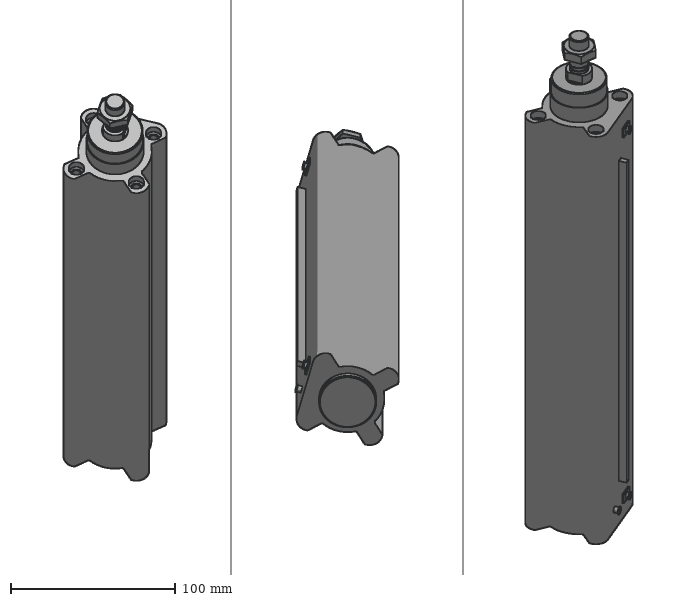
import cadquery as cq
import math

total_height = 362.0
housing_bottom = 4.0
housing_top = 309.5
collar_step = 320.3
collar_top = 330.8
flats_bottom = 331.5
shoulder_top = 337.3
step_top = 339.0
thread_bottom = 341.5
nut_bottom = 348.5
nut_height = 6.0

housing_width = 54.0
half_width = housing_width / 2
lug_radius = 8.0
lug_pitch = half_width - lug_radius
barrel_radius = 22.5
web_width = 12.5
profile_fillet = 1.0

lower_collar_diameter = 35.0
upper_collar_diameter = 34.0
foot_diameter = 35.0
collar_chamfer = 0.7

counterbore_diameter = 9.5
counterbore_depth = 5.0
screw_hole_diameter = 5.0
screw_hole_mouth_diameter = 6.0
screw_hole_depth = 14.5
drill_point_angle = 118.0

rail_width = 3.3
rail_height = 5.0
rail_bottom = 36.5
rail_top = 276.5

plug_offset = 8.5
plug_end_distance = 15.5
plug_height = 3.3
plug_head_diameter = 5.0
plug_head_height = 0.5
plug_neck_diameter = 4.0
pad_width = 9.5
pad_length = 6.0
pad_height = 1.0

shoulder_diameter = 16.0
flats_width = 12.5
step_diameter = 11.5
neck_diameter = 10.5
thread_diameter = 12.0
thread_chamfer = 0.7
nut_across_flats = 19.0
nut_across_corners = nut_across_flats / math.cos(math.pi / 6)
nut_face_diameter = 18.5
nut_chamfer_angle = 30.0


def cylinder(diameter, bottom, top):
    return cq.Workplane("XY").workplane(offset=bottom).circle(diameter / 2).extrude(top - bottom)


def block(size_x, size_y, bottom, top):
    return cq.Workplane("XY").workplane(offset=bottom).rect(size_x, size_y).extrude(top - bottom)


def make_plug(x, z):
    """Headed plug standing on the back face, its axis along +Y."""
    plane = cq.Plane(origin=(x, half_width, z), xDir=(1, 0, 0), normal=(0, 1, 0))
    neck = cq.Workplane(plane).circle(plug_neck_diameter / 2).extrude(plug_height)
    head = (
        cq.Workplane(plane).workplane(offset=plug_height - plug_head_height)
        .circle(plug_head_diameter / 2).extrude(plug_head_height)
    )
    return neck.union(head)


def make_profile_body():
    """Round barrel with four corner lugs on diagonal webs and a flat back."""
    body = cylinder(2 * barrel_radius, housing_bottom, housing_top)
    lug_reach = math.sqrt(2) * lug_pitch
    for angle in (45, 135, 225, 315):
        web = block(lug_reach, web_width, housing_bottom, housing_top).translate((lug_reach / 2, 0, 0))
        lug = cylinder(2 * lug_radius, housing_bottom, housing_top)
        lug = lug.intersect(block(2 * lug_radius, web_width, housing_bottom, housing_top))
        arm = web.union(lug.translate((lug_reach, 0, 0)))
        body = body.union(arm.rotate((0, 0, 0), (0, 0, 1), angle))
    body = body.edges("|Z").fillet(profile_fillet)

    back_flange = block(2 * lug_pitch, half_width - lug_pitch, housing_bottom, housing_top)
    back_flange = back_flange.translate((0, (half_width + lug_pitch) / 2, 0))
    return body.union(back_flange)


def make_screw_hole():
    """Counterbored blind hole with a conical bottom, opening at the housing top."""
    bore_radius = screw_hole_diameter / 2
    mouth_radius = screw_hole_mouth_diameter / 2
    bore_bottom = housing_top - screw_hole_depth
    shelf = housing_top - counterbore_depth
    point_depth = bore_radius / math.tan(math.radians(drill_point_angle / 2))
    return (
        cq.Workplane("XZ")
        .moveTo(0, housing_top)
        .lineTo(counterbore_diameter / 2, housing_top)
        .lineTo(counterbore_diameter / 2, shelf)
        .lineTo(mouth_radius, shelf)
        .lineTo(bore_radius, shelf - (mouth_radius - bore_radius))
        .lineTo(bore_radius, bore_bottom)
        .lineTo(0, bore_bottom - point_depth)
        .close()
        .revolve(360, (0, 0, 0), (0, 1, 0))
    )


def make_housing():
    """Profile body with its holes, collars, foot, back-face fittings and rod socket."""
    body = make_profile_body()
    for x in (-lug_pitch, lug_pitch):
        for y in (-lug_pitch, lug_pitch):
            body = body.cut(make_screw_hole().translate((x, y, 0)))

    lower_collar = cylinder(lower_collar_diameter, housing_top, collar_step)
    upper_collar = cylinder(upper_collar_diameter, collar_step, collar_top).faces(">Z").chamfer(collar_chamfer)
    foot = cylinder(foot_diameter, 0, housing_bottom).faces("<Z").chamfer(collar_chamfer)
    body = body.union(lower_collar).union(upper_collar).union(foot)

    rail = block(rail_width, rail_height, rail_bottom, rail_top)
    body = body.union(rail.translate((0, half_width + rail_height / 2, 0)))

    upper_plug_z = housing_top - plug_end_distance
    lower_plug_z = housing_bottom + plug_end_distance
    pad = cq.Workplane("XY").box(pad_width, pad_height, pad_length)
    for z in (upper_plug_z, lower_plug_z):
        body = body.union(pad.translate((-plug_offset, half_width + pad_height / 2, z)))
        body = body.union(make_plug(-plug_offset, z))
    body = body.union(make_plug(plug_offset, lower_plug_z))

    return body.cut(cylinder(shoulder_diameter, housing_top, collar_top))


def make_rod():
    """Piston rod seated in the collar: shoulder with two flats, step, neck and thread end."""
    shank = cylinder(shoulder_diameter, housing_top, flats_bottom)
    shoulder = cylinder(shoulder_diameter, flats_bottom, shoulder_top)
    flats = block(flats_width, shoulder_diameter, flats_bottom, shoulder_top)
    step = cylinder(step_diameter, shoulder_top, step_top)
    neck = cylinder(neck_diameter, step_top, thread_bottom)
    thread = cylinder(thread_diameter, thread_bottom, total_height).faces(">Z").chamfer(thread_chamfer)
    return shank.union(shoulder.intersect(flats)).union(step).union(neck).union(thread)


def make_nut():
    """Hexagon nut with corners along Y, its top corners cut by a cone."""
    nut_top = nut_bottom + nut_height
    nut = (
        cq.Workplane("XY").workplane(offset=nut_bottom)
        .transformed(rotate=(0, 0, 90))
        .polygon(6, nut_across_corners).extrude(nut_height)
    )
    corner_radius = nut_across_corners / 2
    face_radius = nut_face_diameter / 2
    corner_drop = (corner_radius - face_radius) * math.tan(math.radians(nut_chamfer_angle))
    envelope = (
        cq.Workplane("XZ")
        .moveTo(0, nut_bottom)
        .lineTo(corner_radius, nut_bottom)
        .lineTo(corner_radius, nut_top - corner_drop)
        .lineTo(face_radius, nut_top)
        .lineTo(0, nut_top)
        .close()
        .revolve(360, (0, 0, 0), (0, 1, 0))
    )
    bore = cylinder(thread_diameter, nut_bottom, nut_top)
    return nut.intersect(envelope).cut(bore)


housing = make_housing()
rod = make_rod()
nut = make_nut()

result = cq.Compound.makeCompound([housing.val(), rod.val(), nut.val()])